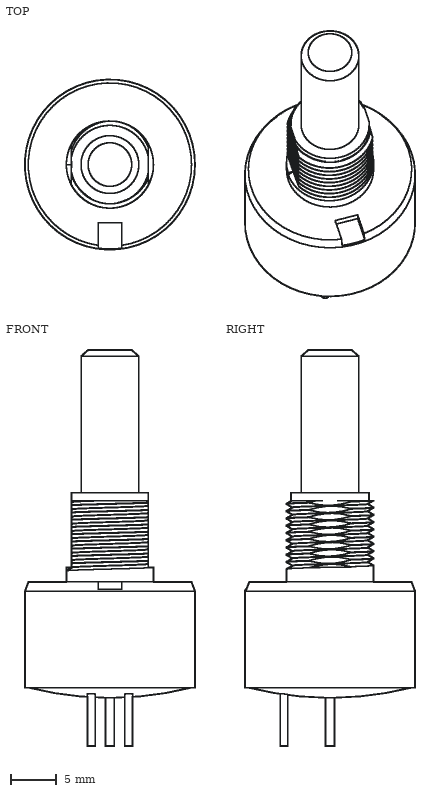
import cadquery as cq

total_height = 43.4
dome_bottom = 5.3
body_bottom = 6.4
body_top = 18.0
thread_start = 19.57
thread_top = 26.9
bushing_top = 27.78

body_radius = 9.35
edge_bevel_width = 0.4
edge_bevel_height = 1.05
dome_radius = 8.8

slot_width = 2.55
slot_inner_y = -6.4
slot_depth = 0.82

thread_radius = 4.77
neck_radius = 4.3
root_radius = 4.15
pitches_per_diameter = 12
thread_pitch = 2 * thread_radius / pitches_per_diameter
groove_mouth = 0.75
groove_floor = 0.05
groove_overcut = 0.02
flat_distance = 4.2

shaft_radius = 3.15
shaft_tip_radius = 2.4
shaft_bevel_height = 0.7

centre_pin_diameter = 1.0
side_pin_radius = 0.45
side_pin_x = 2.05
side_pin_y = -5.05


def cylinder(radius, bottom, top, x=0, y=0):
    return cq.Workplane("XY", origin=(x, y, bottom)).circle(radius).extrude(top - bottom)


def make_body():
    """Round housing with a bevelled top edge and a domed underside."""
    bevel_bottom = body_top - edge_bevel_height
    dome_height = body_bottom - dome_bottom
    sphere_radius = (dome_radius**2 + dome_height**2) / (2 * dome_height)
    half_radius = dome_radius / 2
    half_drop = sphere_radius - (sphere_radius**2 - half_radius**2) ** 0.5
    housing = (
        cq.Workplane("XZ")
        .moveTo(0, dome_bottom)
        .threePointArc((half_radius, dome_bottom + half_drop), (dome_radius, body_bottom))
        .lineTo(body_radius, body_bottom)
        .lineTo(body_radius, bevel_bottom)
        .lineTo(body_radius - edge_bevel_width, body_top)
        .lineTo(0, body_top)
        .close()
        .revolve(360, (0, 0, 0), (0, 1, 0))
    )
    slot_length = body_radius + slot_inner_y
    slot = cq.Workplane("XY").box(slot_width, slot_length, slot_depth, centered=(True, False, False))
    return housing.cut(slot.translate((0, -body_radius, body_top - slot_depth)))


def make_thread_groove():
    """Right-handed V groove that starts on the -X side and runs out past the thread top."""
    helix_height = thread_top - thread_start + thread_pitch
    flank_slope = (groove_mouth - groove_floor) / 2 / (thread_radius - root_radius)
    outer_half_width = groove_mouth / 2 + groove_overcut * flank_slope
    outer_radius = thread_radius + groove_overcut
    profile = [
        (root_radius, -groove_floor / 2),
        (outer_radius, -outer_half_width),
        (outer_radius, outer_half_width),
        (root_radius, groove_floor / 2),
    ]
    edges = []
    for radius, offset in profile:
        helix = cq.Wire.makeHelix(thread_pitch, helix_height, radius)
        edges.append(helix.translate(cq.Vector(0, 0, offset)))

    faces = []
    for index, edge in enumerate(edges):
        faces.append(cq.Face.makeRuledSurface(edges[index - 1], edge))
    for end in (0, 1):
        corners = [edge.positionAt(end) for edge in edges]
        faces.append(cq.Face.makeFromWires(cq.Wire.makePolygon(corners, close=True)))
    groove = cq.Workplane(obj=cq.Solid.makeSolid(cq.Shell.makeShell(faces)))
    return groove.rotate((0, 0, 0), (0, 0, 1), 180).translate((0, 0, thread_start))


def make_bushing():
    """Threaded bushing with a plain collar, a plain neck and two side flats."""
    bushing = cylinder(thread_radius, body_top, thread_top).cut(make_thread_groove())
    bushing = bushing.union(cylinder(neck_radius, thread_top, bushing_top))
    flat_height = bushing_top - thread_start
    between_flats = cq.Workplane("XY", origin=(0, 0, thread_start)).box(
        2 * flat_distance, 2 * thread_radius, flat_height, centered=(True, True, False)
    )
    collar = cylinder(thread_radius, body_top, thread_start)
    return bushing.intersect(between_flats.union(collar))


def make_shaft():
    """Plain shaft with a bevelled tip."""
    return (
        cylinder(shaft_radius, body_top, total_height)
        .faces(">Z")
        .chamfer(shaft_bevel_height, shaft_radius - shaft_tip_radius)
    )


result = make_body().union(make_bushing()).union(make_shaft())
result = result.union(cylinder(centre_pin_diameter / 2, 0, body_bottom))
for pin_x in (-side_pin_x, side_pin_x):
    result = result.union(cylinder(side_pin_radius, 0, body_bottom, pin_x, side_pin_y))